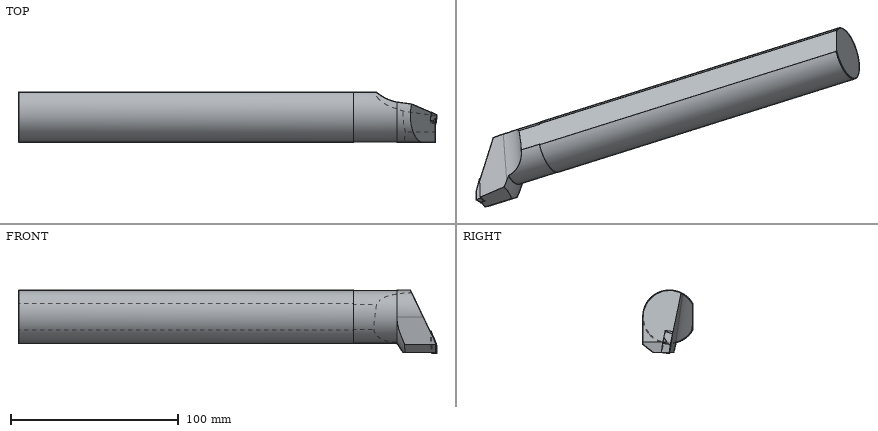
import cadquery as cq
import math


bar_radius = 16.0
rear_chamfer = 0.4
neck_radius = 15.8
shank_length = 200.0
head_start = 226.0
overall_length = 250.0
flat_offset = 13.94

head_bottom = -21.4
head_inner_side = 10.0
corner_side_z = -16.4
corner_bottom_y = -9.7
back_slope = 0.67
end_top_x = 234.0
end_slope = 0.48
nose_x = 248.9

rake_angle = 8.0
rake_slope = math.tan(math.radians(rake_angle))
runout_start = 227.5
runout_radius = 24.0
runout_angle = 50.0

tip_y = -0.3
tip_z = -21.98
insert_thickness = 4.7
insert_back_x = 246.5
insert_bottom_x = 247.0
insert_top_z = -8.8
insert_shoulder_x = 249.7
insert_shoulder_z = -16.5

oversize = 60.0


def make_bar(radius, start, end):
    return cq.Workplane("YZ", origin=(start, 0, 0)).circle(radius).extrude(end - start)


def make_head_block():
    """Block around the lower half of the bar, with a conical back and a bevelled corner."""
    block = (
        cq.Workplane("YZ", origin=(head_start, 0, 0))
        .moveTo(-bar_radius, 0)
        .lineTo(-bar_radius, corner_side_z)
        .lineTo(corner_bottom_y, head_bottom)
        .lineTo(head_inner_side, head_bottom)
        .lineTo(head_inner_side, 0)
        .close()
        .extrude(overall_length - head_start)
    )
    cone_reach = oversize - bar_radius
    behind_cone = (
        cq.Workplane("XY")
        .moveTo(head_start, bar_radius)
        .lineTo(head_start + back_slope * cone_reach, oversize)
        .lineTo(0, oversize)
        .lineTo(0, bar_radius)
        .close()
        .revolve(360, (0, 0, 0), (1, 0, 0))
    )
    return block.cut(behind_cone)


def make_end_cutter():
    """Everything beyond the sloping end face and the upright nose."""
    nose_z = bar_radius - (nose_x - end_top_x) / end_slope
    return (
        cq.Workplane("XZ")
        .moveTo(end_top_x - end_slope * bar_radius, 2 * bar_radius)
        .lineTo(nose_x, nose_z)
        .lineTo(nose_x, -oversize)
        .lineTo(overall_length + oversize, -oversize)
        .lineTo(overall_length + oversize, 2 * bar_radius)
        .close()
        .extrude(oversize, both=True)
    )


def rake_y(x, z):
    """Y of the rake face, which passes through the cutting tip."""
    return tip_y + rake_slope * (overall_length - x) + rake_slope * (z - tip_z)


def make_rake_cutter():
    """Material removed on the +Y side: the leaning rake face and its curved run-out."""
    lean = math.radians(rake_angle)
    fall_angle = math.atan(rake_slope * math.cos(lean))
    far_x = overall_length + oversize
    start_y = rake_y(runout_start, 0) * math.cos(lean)
    far_y = rake_y(far_x, 0) * math.cos(lean)

    center_x = runout_start + runout_radius * math.sin(fall_angle)
    center_y = start_y + runout_radius * math.cos(fall_angle)

    def arc_point(angle):
        return center_x - runout_radius * math.sin(angle), center_y - runout_radius * math.cos(angle)

    exit_angle = math.radians(runout_angle)
    exit_x, exit_y = arc_point(exit_angle)
    cutter = (
        cq.Workplane("XY")
        .moveTo(far_x, far_y)
        .lineTo(runout_start, start_y)
        .threePointArc(arc_point((fall_angle + exit_angle) / 2), (exit_x, exit_y))
        .lineTo(exit_x, oversize)
        .lineTo(far_x, oversize)
        .close()
        .extrude(oversize, both=True)
    )
    return cutter.rotate((0, 0, 0), (1, 0, 0), -rake_angle)


def make_insert():
    """Prism with its top in the rake face and its cutting tip at the lower far corner."""
    rake_plane = cq.Plane(
        origin=(overall_length, tip_y, tip_z),
        xDir=(1, -rake_slope, 0),
        normal=(rake_slope, 1, -rake_slope),
    )

    def on_rake(x, z):
        local = rake_plane.toLocalCoords(cq.Vector(x, rake_y(x, z), z))
        return local.x, local.y

    outline = [
        on_rake(overall_length, tip_z),
        on_rake(insert_shoulder_x, insert_shoulder_z),
        on_rake(insert_back_x, insert_top_z),
        on_rake(insert_bottom_x, tip_z),
    ]
    return cq.Workplane(rake_plane).polyline(outline).close().extrude(-insert_thickness)


def make_flat_cutter():
    """Everything beyond the flat along the +Y side."""
    block = cq.Workplane("XY").box(overall_length, oversize, oversize, centered=(False, False, True))
    return block.translate((0, flat_offset, 0))


insert = make_insert()

shank = make_bar(bar_radius, 0, shank_length).faces("<X").chamfer(rear_chamfer)
neck = make_bar(neck_radius, shank_length, head_start)
head = make_bar(bar_radius, head_start, overall_length).union(make_head_block()).cut(make_end_cutter())

holder = shank.union(neck).union(head).cut(make_rake_cutter()).cut(make_flat_cutter()).cut(insert)

result = cq.Compound.makeCompound([holder.val(), insert.val()])